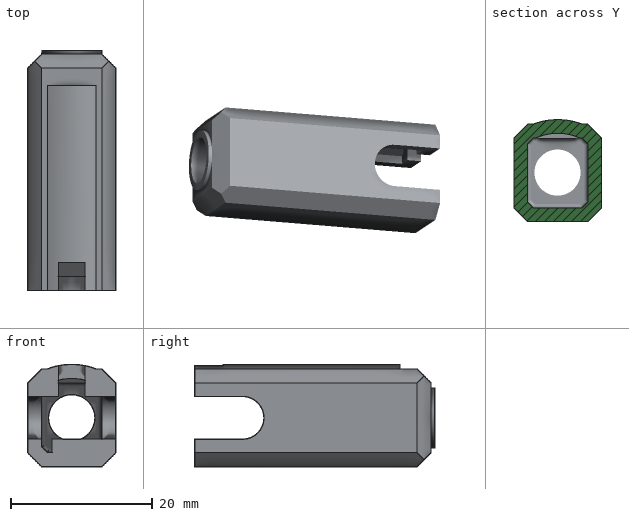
import cadquery as cq
import math

total_length = 34.0
width = 12.5
total_height = 14.52
wall = 2.0
chamfer = 2.0

boss_height = 0.5
boss_diameter = 8.5
bore_diameter = 6.53

crown_rise = 0.65
crown_width = 6.87
crown_length = 29.07

side_slot_height = 6.02
side_slot_length = 9.8
top_slot_width = 3.8
top_slot_length = 4.0
notch_width = 1.45

cavity_end_radius = 0.5

body_length = total_length - boss_height
body_height = total_height - crown_rise
middle_z = body_height / 2
crown_radius = ((crown_width / 2) ** 2 + crown_rise ** 2) / (2 * crown_rise)
crown_center_z = total_height - crown_radius
cavity_half_width = width / 2 - wall
cavity_chamfer = chamfer - wall * (2 - math.sqrt(2))


def block(x_min, x_max, y_min, y_max, z_min, z_max):
    """Box between the given limits."""
    size = (x_max - x_min, y_max - y_min, z_max - z_min)
    return cq.Workplane("XY").box(*size, centered=False).translate((x_min, y_min, z_min))


def rod(radius, z, y_min, y_max):
    """Cylinder along Y on the middle plane of the part."""
    return cq.Workplane("XZ", origin=(0, y_min, z)).circle(radius).extrude(y_min - y_max)


def outer_body():
    """Chamfered block with a crown on top and a round boss at the rear."""
    blank = block(-width / 2, width / 2, 0, body_length, 0, body_height)
    body = blank.edges("|Y").chamfer(chamfer)
    for rear_edges in (">Y and |X", ">Y and |Z"):
        body = body.intersect(blank.edges(rear_edges).chamfer(chamfer))
    crown_zone = block(-crown_width / 2, crown_width / 2, 0, crown_length, middle_z, total_height)
    crown = rod(crown_radius, crown_center_z, 0, crown_length).intersect(crown_zone)
    boss = rod(boss_diameter / 2, middle_z, body_length - wall, total_length)
    return body.union(crown).union(boss)


def cavity():
    """Inner space that keeps one wall thickness to the body and to the crown."""
    roof_z = body_height - wall
    space = block(-cavity_half_width, cavity_half_width, wall, body_length - wall, wall, roof_z)
    space = space.edges("|Y").chamfer(cavity_chamfer).faces(">Y").edges().fillet(cavity_end_radius)
    recess_end = crown_length - wall
    recess_zone = block(-cavity_half_width, cavity_half_width, wall, recess_end, roof_z, total_height)
    recess = rod(crown_radius - wall, crown_center_z, wall, recess_end).intersect(recess_zone)
    return space.union(recess)


def side_slot():
    """Round-ended slot across the full width, open at the front."""
    radius = side_slot_height / 2
    straight = side_slot_length - radius
    return (
        cq.Workplane("YZ", origin=(-width / 2, 0, middle_z))
        .moveTo(0, -radius)
        .lineTo(straight, -radius)
        .threePointArc((side_slot_length, 0), (straight, radius))
        .lineTo(0, radius)
        .close()
        .extrude(width)
    )


def top_slot():
    """Square slot through the roof, open at the front."""
    half = top_slot_width / 2
    return block(-half, half, 0, top_slot_length, middle_z, total_height)


def front_notch():
    """Notch through the front lip beside one wall, following the cavity corner."""
    left = -cavity_half_width
    right = left + notch_width
    return (
        cq.Workplane("XZ")
        .moveTo(left, middle_z)
        .lineTo(left, wall + cavity_chamfer)
        .lineTo(left + cavity_chamfer, wall)
        .lineTo(right, wall)
        .lineTo(right, middle_z)
        .close()
        .extrude(-wall)
    )


bore = rod(bore_diameter / 2, middle_z, body_length / 2, total_length)

result = outer_body()
for cutter in (cavity(), side_slot(), top_slot(), front_notch(), bore):
    result = result.cut(cutter)
result = result.translate((0, -total_length / 2, 0))